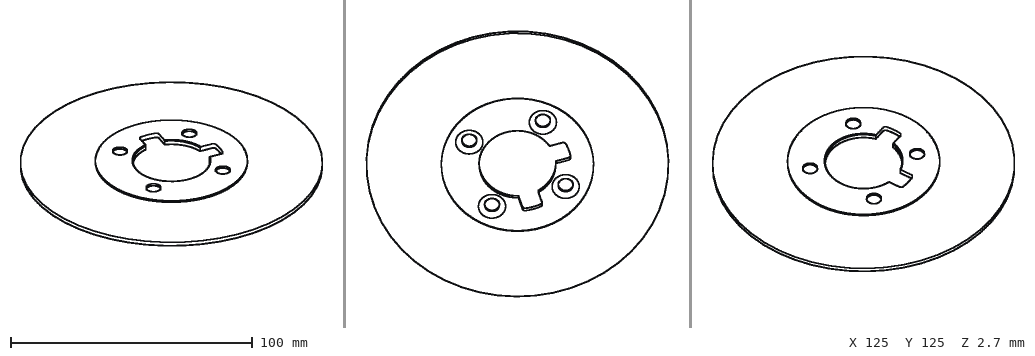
import cadquery as cq

disc_diameter = 125.0
disc_thickness = 1.9
flat_diameter = 121.1
bevel_break_diameter = 123.1
inner_bevel_drop = 0.05
outer_bevel_drop = 0.1

hub_diameter = 63.0
hub_rise = 0.8
hub_recess = 0.5
bore_diameter = 31.8
bore_chamfer = 0.4
hub_top = disc_thickness + hub_rise
hub_thickness = hub_top - hub_recess

bolt_hole_diameter = 6.1
bolt_spacing = 31.9
bolt_hole_land = 1.0
countersink_depth = hub_thickness - bolt_hole_land
countersink_diameter = 11.2

keyway_width = 8.6
keyway_reach = 22.2
keyway_corner_radius = 1.2
keyway_directions = (90, 180)


def make_disc():
    """Revolve the disc's section, from the hub seat out to the bevelled rim."""
    return (
        cq.Workplane("XZ")
        .moveTo(hub_diameter / 2, 0)
        .lineTo(disc_diameter / 2, 0)
        .lineTo(disc_diameter / 2, disc_thickness - outer_bevel_drop)
        .lineTo(bevel_break_diameter / 2, disc_thickness - inner_bevel_drop)
        .lineTo(flat_diameter / 2, disc_thickness)
        .lineTo(hub_diameter / 2, disc_thickness)
        .close()
        .revolve(360, (0, 0, 0), (0, 1, 0))
    )


def make_bolt_hole_cutters():
    """Four through holes, each widening in a cone towards the hub's underside."""
    def hole_centres():
        return (
            cq.Workplane("XY", origin=(0, 0, hub_recess))
            .rect(bolt_spacing, bolt_spacing, forConstruction=True)
            .vertices()
        )

    cone = cq.Solid.makeCone(countersink_diameter / 2, bolt_hole_diameter / 2, countersink_depth)
    holes = hole_centres().circle(bolt_hole_diameter / 2).extrude(hub_thickness)
    countersinks = hole_centres().eachpoint(lambda place: cone.located(place))
    return holes.union(countersinks)


def make_keyway_cutter(direction):
    """A slot from the axis outward, its end concentric with the hub and its corners rounded."""
    base = cq.Workplane("XY", origin=(0, 0, hub_recess))
    slot = base.center(keyway_reach / 2, 0).rect(keyway_reach, keyway_width).extrude(hub_thickness)
    end_limit = base.circle(keyway_reach).extrude(hub_thickness)
    outer_corners = cq.selectors.BoxSelector(
        (keyway_reach / 2, -keyway_width, 0),
        (keyway_reach * 2, keyway_width, hub_top),
    )
    cutter = slot.intersect(end_limit).edges("|Z").edges(outer_corners).fillet(keyway_corner_radius)
    return cutter.rotate((0, 0, 0), (0, 0, 1), direction)


def make_hub():
    hub = (
        cq.Workplane("XY", origin=(0, 0, hub_recess))
        .circle(hub_diameter / 2)
        .circle(bore_diameter / 2)
        .extrude(hub_thickness)
        .faces(">Z").edges(cq.selectors.RadiusNthSelector(0)).chamfer(bore_chamfer)
    )
    hub = hub.cut(make_bolt_hole_cutters())
    for direction in keyway_directions:
        hub = hub.cut(make_keyway_cutter(direction))
    return hub


disc = make_disc()
hub = make_hub()
result = cq.Compound.makeCompound([disc.val(), hub.val()])